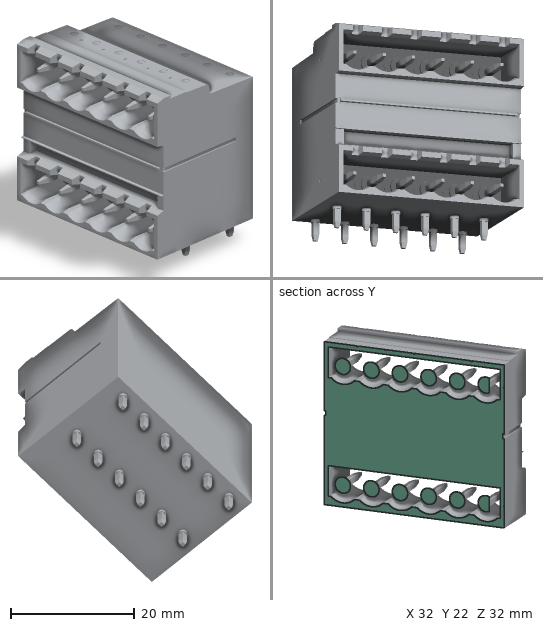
import cadquery as cq
import math


WIDTH = 32.05
DEPTH = 22.0
TOP_Z = 28.45
POLES = 6
PITCH = 5.078
LEVEL_SPACING = 20.12
POLE_XS = [(i - (POLES - 1) / 2) * PITCH for i in range(POLES)]
GAP_XS = [(a + b) / 2 for a, b in zip(POLE_XS, POLE_XS[1:])]

WAIST_Y = 1.45
LIP_DROP = 0.45
LIP_BACK_Y = 3.08
LIP_STEP = 0.5
MID_STEP_Y = 6.57
MID_STEP = 0.13
MID_STEP_Z = 27.9
CREST_Y = 11.35
CREST_Z = 27.62
CREST_ARC_MID = (11.73, 27.43)
CREST_ARC_END = (11.92, 26.98)
REAR_STEP_Y = 12.2
REAR_STEP_Z = 25.73
REAR_Z = 25.45
UPPER_SHROUD_BOTTOM = 20.22
WAIST_TOP = 20.02
LOWER_LIP_Z = TOP_Z - LEVEL_SPACING

CONTACT_Z = 3.75
CONTACT_ZS = (CONTACT_Z, CONTACT_Z + LEVEL_SPACING)
CAVITY_WIDTH = 30.45
CAVITY_DEPTH = 8.65
CAVITY_FLOOR = -2.15
CAVITY_ROOF = 2.95
SCALLOP_R = 2.98
SCALLOP_FLARE = 0.22
MOUTH_FLARE = 0.32
MOUTH_DEPTH = 1.28
NOTCH_FRONT_WIDTH = 1.8
NOTCH_BACK_WIDTH = 1.15

PIN_WIDTH = 1.0
CONTACT_TIP_WIDTH = 0.5
CONTACT_TIP_LENGTH = 2.08
CONTACT_TIP_Y = 1.45
SEAT_R = 1.4
SEAT_HEIGHT = 0.32
SEAT_FLAT_X = 0.67

SOLDER_PIN_YS = (9.87, 20.0)
COLLAR_R = 0.75
COLLAR_HEIGHT = 0.5
SOLDER_PIN_LENGTH = 3.55
SOLDER_TIP_WIDTH = 0.65
SOLDER_TIP_LENGTH = 0.95
PIN_HOLE_R = 0.7
PIN_HOLE_DEPTH = 0.1

RIDGE_TIP_Y = 1.03
RIDGE_Z = 15.75
RIDGE_HEIGHT = 0.4
LEDGE_Z = 11.12
LEDGE_HEIGHT = 0.25
RIDGE_TAPER = 0.1
RECESS_WIDTH = 29.22
GROOVE_Z = 15.57
GROOVE_HEIGHT = 0.7
GROOVE_DEPTH = 0.3
GROOVE_END_Y = 18.07
RIDGE_END_R = 0.5
RIDGE_END_DEPTH = 0.13

NIB_WIDTH = 0.95
NIB_BOTTOM = 26.27
NIB_TOP = 27.05
NIB_TIP_Y = 12.37
NIB_ROOT = 0.32
ARROW_WIDTH = 0.5
ARROW_LENGTH = 0.77
ARROW_DEPTH = 0.1
ARROW_BASE_Y = 9.1

OVERLAP = 0.15


def extrude_along_x(points, length):
    """Extrude a (y, z) outline along X, centred on X = 0."""
    return cq.Workplane("YZ").polyline(points).close().extrude(length / 2, both=True)


def box(x_range, y_range, z_range):
    sizes = [high - low for low, high in (x_range, y_range, z_range)]
    corner = cq.Vector(x_range[0], y_range[0], z_range[0])
    return cq.Workplane(cq.Solid.makeBox(*sizes, corner))


def make_body():
    profile = (
        cq.Workplane("YZ")
        .moveTo(0, 0)
        .lineTo(0, LOWER_LIP_Z - LIP_DROP)
        .lineTo(WAIST_Y, LOWER_LIP_Z)
        .lineTo(WAIST_Y, WAIST_TOP)
        .lineTo(0, UPPER_SHROUD_BOTTOM)
        .lineTo(0, TOP_Z - LIP_DROP)
        .lineTo(WAIST_Y, TOP_Z)
        .lineTo(LIP_BACK_Y, TOP_Z)
        .lineTo(LIP_BACK_Y, TOP_Z - LIP_STEP)
        .lineTo(MID_STEP_Y, MID_STEP_Z)
        .lineTo(MID_STEP_Y, MID_STEP_Z - MID_STEP)
        .lineTo(CREST_Y, CREST_Z)
        .threePointArc(CREST_ARC_MID, CREST_ARC_END)
        .lineTo(REAR_STEP_Y, REAR_STEP_Z)
        .lineTo(DEPTH, REAR_Z)
        .lineTo(DEPTH, 0)
        .close()
    )
    return profile.extrude(WIDTH / 2, both=True)


def scallop_cutter(x, z):
    """Bore around one contact, opening as a cone at the mouth."""
    centre = cq.Vector(x, 0, z)
    inward = cq.Vector(0, 1, 0)
    bore = cq.Solid.makeCylinder(SCALLOP_R, CAVITY_DEPTH, centre, inward)
    mouth = cq.Solid.makeCone(SCALLOP_R + SCALLOP_FLARE, SCALLOP_R, MOUTH_DEPTH, centre, inward)
    return cq.Workplane(bore).union(cq.Workplane(mouth))


def notch_cutter(x, contact_z):
    """Tapered opening through the shroud roof above one contact."""
    half_front = NOTCH_FRONT_WIDTH / 2
    half_back = NOTCH_BACK_WIDTH / 2
    outline = [
        (x - half_front, 0),
        (x + half_front, 0),
        (x + half_back, WAIST_Y),
        (x - half_back, WAIST_Y),
    ]
    height = LOWER_LIP_Z - CONTACT_Z
    return cq.Workplane("XY", origin=(0, 0, contact_z)).polyline(outline).close().extrude(height)


def cavity_cutter(contact_z):
    """Shroud cavity: straight sides, flared mouth and a scalloped floor."""
    floor = contact_z + CAVITY_FLOOR
    roof = contact_z + CAVITY_ROOF
    outline = [
        (0, floor - MOUTH_FLARE),
        (MOUTH_DEPTH, floor),
        (CAVITY_DEPTH, floor),
        (CAVITY_DEPTH, roof),
        (MOUTH_DEPTH, roof),
        (0, roof + MOUTH_FLARE),
    ]
    cutter = extrude_along_x(outline, CAVITY_WIDTH)
    x_range = (-CAVITY_WIDTH / 2, CAVITY_WIDTH / 2)
    lower_half = box(x_range, (0, CAVITY_DEPTH), (contact_z - 2 * SCALLOP_R, contact_z))
    for x in POLE_XS:
        cutter = cutter.union(scallop_cutter(x, contact_z).intersect(lower_half))
        cutter = cutter.union(notch_cutter(x, contact_z))
    return cutter


def square_pin(plane, origin, straight, tip_width, tip_length):
    """Square pin growing along the plane normal, ending in a tapered tip."""
    taper_angle = math.degrees(math.atan((PIN_WIDTH - tip_width) / 2 / tip_length))
    start = cq.Workplane(plane, origin=origin)
    shank = start.rect(PIN_WIDTH, PIN_WIDTH).extrude(straight)
    tip = start.workplane(offset=straight).rect(PIN_WIDTH, PIN_WIDTH).extrude(tip_length, taper=taper_angle)
    return shank.union(tip)


def contact(x, z, keyed):
    """Contact and the round seat on the cavity's back wall; a keyed seat has a flat on its left."""
    seat = cq.Workplane("XZ", origin=(x, CAVITY_DEPTH + OVERLAP, z)).circle(SEAT_R)
    seat = seat.extrude(SEAT_HEIGHT + OVERLAP)
    if keyed:
        beyond_flat = (x - 2 * SEAT_R, x - SEAT_FLAT_X)
        seat = seat.cut(box(beyond_flat, (0, DEPTH), (z - 2 * SEAT_R, z + 2 * SEAT_R)))
    straight = CAVITY_DEPTH + OVERLAP - CONTACT_TIP_Y - CONTACT_TIP_LENGTH
    root = (x, CAVITY_DEPTH + OVERLAP, z)
    return seat.union(square_pin("XZ", root, straight, CONTACT_TIP_WIDTH, CONTACT_TIP_LENGTH))


def solder_pin(x, y):
    """Round collar under the body with a square pin below it."""
    collar = cq.Workplane("YX", origin=(x, y, OVERLAP)).circle(COLLAR_R).extrude(COLLAR_HEIGHT + OVERLAP)
    straight = SOLDER_PIN_LENGTH + OVERLAP - SOLDER_TIP_LENGTH
    return collar.union(square_pin("YX", (x, y, OVERLAP), straight, SOLDER_TIP_WIDTH, SOLDER_TIP_LENGTH))


def top_z(y):
    """Height of the top at y, on the two sloping faces that hold the pin holes."""
    if y > REAR_STEP_Y:
        start_y, start_z, end_y, end_z = REAR_STEP_Y, REAR_STEP_Z, DEPTH, REAR_Z
    else:
        start_y, start_z, end_y, end_z = MID_STEP_Y, MID_STEP_Z - MID_STEP, CREST_Y, CREST_Z
    return start_z + (end_z - start_z) * (y - start_y) / (end_y - start_y)


def pin_hole_cutter(x, y):
    """Shallow round recess in the top, above a solder pin."""
    floor = top_z(y) - PIN_HOLE_DEPTH
    return cq.Workplane("XY", origin=(x, y, floor)).circle(PIN_HOLE_R).extrude(PIN_HOLE_DEPTH + OVERLAP)


def make_ridge():
    """Rail across the waist with a bevelled underside."""
    outline = [
        (WAIST_Y + OVERLAP, RIDGE_Z),
        (RIDGE_TIP_Y, RIDGE_Z),
        (RIDGE_TIP_Y, RIDGE_Z - RIDGE_HEIGHT + RIDGE_TAPER),
        (WAIST_Y, RIDGE_Z - RIDGE_HEIGHT),
        (WAIST_Y + OVERLAP, RIDGE_Z - RIDGE_HEIGHT),
    ]
    return extrude_along_x(outline, CAVITY_WIDTH)


def make_ledge():
    """Full-width lip over the waist recess with a bevelled top."""
    outline = [
        (WAIST_Y + OVERLAP, LEDGE_Z),
        (WAIST_Y, LEDGE_Z),
        (RIDGE_TIP_Y, LEDGE_Z - RIDGE_TAPER),
        (RIDGE_TIP_Y, LEDGE_Z - LEDGE_HEIGHT),
        (WAIST_Y + OVERLAP, LEDGE_Z - LEDGE_HEIGHT),
    ]
    return extrude_along_x(outline, WIDTH)


def waist_recess_cutter():
    half = RECESS_WIDTH / 2
    return box((-half, half), (WAIST_Y, LIP_BACK_Y), (LOWER_LIP_Z, LEDGE_Z - LEDGE_HEIGHT))


def side_cutter(side):
    """Side groove and the half-round pocket at the end of the ridge; side is -1 or 1."""
    z_range = (GROOVE_Z - GROOVE_HEIGHT / 2, GROOVE_Z + GROOVE_HEIGHT / 2)
    outer_x = side * WIDTH / 2
    inner_x = outer_x - side * GROOVE_DEPTH
    groove = box(sorted((inner_x, outer_x)), (WAIST_Y, GROOVE_END_Y), z_range)
    ridge_end_x = side * CAVITY_WIDTH / 2
    pocket = (
        cq.Workplane("XZ", origin=(ridge_end_x, WAIST_Y, GROOVE_Z))
        .moveTo(0, -RIDGE_END_R)
        .threePointArc((side * RIDGE_END_R, 0), (0, RIDGE_END_R))
        .close()
        .extrude(-RIDGE_END_DEPTH)
    )
    return groove.union(pocket)


def rear_nib(x):
    """Small pointed nib on the face of the rear step."""
    root_y = REAR_STEP_Y - NIB_ROOT
    outline = [(x - NIB_WIDTH / 2, root_y), (x + NIB_WIDTH / 2, root_y), (x, NIB_TIP_Y)]
    base = cq.Workplane("XY", origin=(0, 0, NIB_BOTTOM))
    return base.polyline(outline).close().extrude(NIB_TOP - NIB_BOTTOM)


def arrow_cutter(surface_point, normal, pointing):
    """Engraved triangle whose base is centred on surface_point."""
    plane = cq.Plane(surface_point, pointing, normal)
    half = ARROW_WIDTH / 2
    outline = [(0, -half), (ARROW_LENGTH, 0), (0, half)]
    return (
        cq.Workplane(plane)
        .workplane(offset=-ARROW_DEPTH)
        .polyline(outline)
        .close()
        .extrude(ARROW_DEPTH + OVERLAP)
    )


result = make_body()
result = result.cut(waist_recess_cutter())
result = result.union(make_ridge()).union(make_ledge())
for side in (-1, 1):
    result = result.cut(side_cutter(side))

for z in CONTACT_ZS:
    result = result.cut(cavity_cutter(z))
    result = result.cut(arrow_cutter((-WIDTH / 2, ARROW_BASE_Y, z), (-1, 0, 0), (0, -1, 0)))
    for x in GAP_XS:
        result = result.cut(arrow_cutter((x, CAVITY_DEPTH, z - ARROW_LENGTH), (0, -1, 0), (0, 0, 1)))
    for x in POLE_XS:
        result = result.union(contact(x, z, keyed=x == POLE_XS[0]))

for x in GAP_XS:
    arrow_base = (x, ARROW_BASE_Y, top_z(ARROW_BASE_Y))
    result = result.cut(arrow_cutter(arrow_base, (0, 0, 1), (0, -1, 0)))

for x in POLE_XS:
    result = result.union(rear_nib(x))
    for y in SOLDER_PIN_YS:
        result = result.union(solder_pin(x, y)).cut(pin_hole_cutter(x, y))